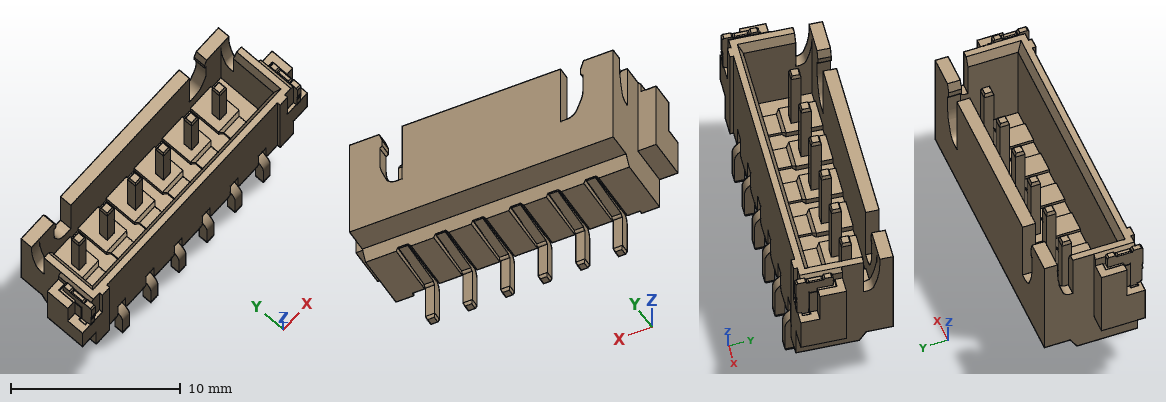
import cadquery as cq
import math


LENGTH = 20.0
SHELL_LENGTH = 17.55
DEPTH = 5.92
HEIGHT = 7.8
FRONT_STEP = 0.22
PAD_WIDTH = 1.2
SIDE_WALL = 0.72
FRONT_WALL = 0.72
BACK_WALL = 0.82
FLOOR_TOP = 1.8
BACK_UNDERCUT = 0.72
UNDERCUT_LENGTH = 1.65
UNDERCUT_SLOPE_LENGTH = 0.42
LEAD_IN_WIDTH = 0.3
LEAD_IN_HEIGHT = 0.6

PIN_COUNT = 6
PITCH = 2.5
PIN_SIZE = 0.62
PIN_Y = 3.62
PIN_TOP = 6.85
LEAD_BOTTOM = -2.8
LEAD_OVERHANG = 0.12
ARM_TOP = 0.72
ARM_BOTTOM = 0.05
ARM_DROP = 0.15
BEND_BOTTOM = -0.42
INNER_BEND = 0.15
PIN_TIP_HEIGHT = 0.25
PIN_TIP_INSET = 0.08

SLOT_WIDTH = 0.68
SLOT_TOP = 1.7
SLOT_DEPTH = 0.5
SLOT_MOUTH_CHAMFER = 0.15

BLOCK_WIDTH = 1.82
BLOCK_NECK_WIDTH = 1.38
BLOCK_HEIGHT = 0.4
NECK_HEIGHT = 0.2
BLOCK_FRONT_Y = 2.85
BLOCK_TAPER = 0.2

SIDE_SLOT_END = 1.8
SIDE_SLOT_CURVE_TOP = 0.58
SIDE_SLOT_CURVE_BOTTOM = 2.6
SIDE_SLOT_CURVE_SHIFT = 0.35
SIDE_SLOT_DEPTH = 2.95
SIDE_SLOT_ROUND_LENGTH = 0.45

NOTCH_OUTER_X = 6.8
NOTCH_INNER_X = 5.28
NOTCH_DEPTH = 4.28

WING_DEPTH = 2.78
WING_BOTTOM = 2.22
WING_TOP = 6.98
SHELF_Z = 4.7
RECESS_INNER_X = 8.25
NOTCHED_WING_DEPTH = 1.15
BACKING_WIDTH = 0.22
BACKING_CHAMFER_HEIGHT = 0.25
LEG_POCKET_BACK_Y = 0.75
CLIP_LEAD_IN = 0.18
CLIP_LEAD_IN_DEPTH = 0.08
CLIP_LEAD_IN_SLOPE = 0.05
BRIDGE_X = 9.35
BRIDGE_GAP = 0.05

CLIP_THICKNESS = 0.32
CLIP_TOP = 7.75
CLIP_BACK_Y = 2.15
CLIP_FRONT_Y = -LEAD_OVERHANG
CLIP_LEG_BACK_Y = 0.65
CLIP_BAR_BOTTOM = 6.62
CLIP_CORNER = 0.1

SHELL_X = SHELL_LENGTH / 2
CAVITY_X = SHELL_X - SIDE_WALL
CAVITY_FRONT_Y = FRONT_STEP + FRONT_WALL
CAVITY_BACK_Y = DEPTH - BACK_WALL
BACKING_X = SHELL_X + BACKING_WIDTH
PIN_POSITIONS = [(i - (PIN_COUNT - 1) / 2) * PITCH for i in range(PIN_COUNT)]


def block(x0, x1, y0, y1, z0, z1):
    """Box between two opposite corners."""
    return cq.Workplane("XY").box(x1 - x0, y1 - y0, z1 - z0, centered=False).translate((x0, y0, z0))


def prism_x(outline, x0, x1):
    """Closed YZ outline extruded from x0 to x1."""
    return outline.close().extrude(x1 - x0).translate((x0, 0, 0))


def yz(y, z):
    return cq.Workplane("YZ").moveTo(y, z)


def both_sides(half):
    """The left-hand solid together with its mirror image."""
    return half.union(half.mirror("YZ"))


def housing_shell():
    """Open-topped shell with end pads, its front pads cut away beside the clips."""
    undercut_y = DEPTH - UNDERCUT_LENGTH
    side = yz(0, 0).lineTo(0, HEIGHT).lineTo(DEPTH, HEIGHT).lineTo(DEPTH, BACK_UNDERCUT)
    side = side.lineTo(undercut_y, BACK_UNDERCUT).lineTo(undercut_y - UNDERCUT_SLOPE_LENGTH, 0)
    shell = prism_x(side, -SHELL_X, SHELL_X)
    face_x = SHELL_X - PAD_WIDTH
    shell = shell.cut(block(-face_x, face_x, 0, FRONT_STEP, 0, HEIGHT))
    shell = shell.cut(block(-CAVITY_X, CAVITY_X, CAVITY_FRONT_Y, CAVITY_BACK_Y, FLOOR_TOP, HEIGHT))
    return shell.cut(both_sides(block(-SHELL_X, -RECESS_INNER_X, 0, FRONT_STEP, SHELF_Z, HEIGHT)))


def lead_in():
    """Sloped rim around the front and sides of the cavity mouth."""
    rim_z = HEIGHT - LEAD_IN_HEIGHT
    rim_y = CAVITY_FRONT_Y - LEAD_IN_WIDTH
    rim_x = CAVITY_X + LEAD_IN_WIDTH
    sides = cq.Workplane("XZ").moveTo(-CAVITY_X, rim_z).lineTo(CAVITY_X, rim_z)
    sides = sides.lineTo(rim_x, HEIGHT).lineTo(-rim_x, HEIGHT).close()
    sides = sides.extrude(-(CAVITY_BACK_Y - rim_y)).translate((0, rim_y, 0))
    front = yz(CAVITY_FRONT_Y, rim_z).lineTo(rim_y, HEIGHT).lineTo(CAVITY_BACK_Y, HEIGHT)
    front = front.lineTo(CAVITY_BACK_Y, rim_z)
    return sides.intersect(prism_x(front, -rim_x, rim_x))


def side_slot():
    """Left-hand slot with a curved back edge that separates the side wall from the back wall."""
    curve_end_y = CAVITY_BACK_Y - SIDE_SLOT_CURVE_SHIFT
    round_end_y = curve_end_y - SIDE_SLOT_ROUND_LENGTH
    slot_z = HEIGHT - SIDE_SLOT_DEPTH
    slot_front_y = DEPTH - SIDE_SLOT_END
    side = yz(CAVITY_BACK_Y, HEIGHT).lineTo(CAVITY_BACK_Y, HEIGHT - SIDE_SLOT_CURVE_TOP)
    side = side.tangentArcPoint((curve_end_y, HEIGHT - SIDE_SLOT_CURVE_BOTTOM), relative=False)
    side = side.tangentArcPoint((round_end_y, slot_z), relative=False)
    side = side.lineTo(slot_front_y, slot_z).lineTo(slot_front_y, HEIGHT)
    return prism_x(side, -SHELL_X, -CAVITY_X)


def latch_notch():
    """Left-hand notch in the back wall, with a bulged catch at the top and a rounded bottom corner."""
    catch = 0.2
    catch_start, catch_end = 0.6, 1.0
    neck = 0.05
    neck_start, neck_end = 1.15, 2.4
    slope_start = (0.15, 3.1)
    slope_end = (0.45, 3.8)
    round_end = 1.15
    x, z = -NOTCH_OUTER_X, HEIGHT
    outline = cq.Workplane("XZ").moveTo(x, z).lineTo(x + catch, z - catch_start)
    outline = outline.lineTo(x + catch, z - catch_end).lineTo(x + neck, z - neck_start)
    outline = outline.lineTo(x + neck, z - neck_end)
    outline = outline.tangentArcPoint((x + slope_start[0], z - slope_start[1]), relative=False)
    outline = outline.lineTo(x + slope_end[0], z - slope_end[1])
    outline = outline.tangentArcPoint((x + round_end, z - NOTCH_DEPTH), relative=False)
    outline = outline.lineTo(-NOTCH_INNER_X, z - NOTCH_DEPTH).lineTo(-NOTCH_INNER_X, z).close()
    return outline.extrude(-BACK_WALL).translate((0, CAVITY_BACK_Y, 0))


def pin_block(x):
    """Floor block that steps down and narrows toward the front wall."""
    wide, neck = BLOCK_WIDTH / 2, BLOCK_NECK_WIDTH / 2
    neck_y = BLOCK_FRONT_Y - BLOCK_TAPER
    right_edge = [(neck, CAVITY_FRONT_Y), (neck, neck_y), (wide, BLOCK_FRONT_Y), (wide, CAVITY_BACK_Y)]
    left_edge = [(-px, py) for px, py in reversed(right_edge)]
    plan = cq.Workplane("XY").polyline(right_edge + left_edge).close()
    plan = plan.extrude(BLOCK_HEIGHT).translate((0, 0, FLOOR_TOP))
    neck_z = FLOOR_TOP + NECK_HEIGHT
    top_z = FLOOR_TOP + BLOCK_HEIGHT
    side = yz(CAVITY_FRONT_Y, FLOOR_TOP).lineTo(CAVITY_FRONT_Y, neck_z).lineTo(neck_y, neck_z)
    side = side.lineTo(BLOCK_FRONT_Y, top_z).lineTo(CAVITY_BACK_Y, top_z).lineTo(CAVITY_BACK_Y, FLOOR_TOP)
    return plan.intersect(prism_x(side, -wide, wide)).translate((x, 0, 0))


def lead_slot(x):
    """Relief in the front wall with a leaning back face and a flared groove along the bottom."""
    half = SLOT_WIDTH / 2
    back_y = FRONT_STEP + SLOT_DEPTH
    side = yz(FRONT_STEP, 0).lineTo(FRONT_STEP, SLOT_TOP).lineTo(back_y, ARM_TOP).lineTo(back_y, 0)
    slot = prism_x(side, -half, half)
    flare = half + SLOT_MOUTH_CHAMFER
    mouth = cq.Workplane("XZ").moveTo(-flare, 0).lineTo(-half, SLOT_MOUTH_CHAMFER)
    mouth = mouth.lineTo(half, SLOT_MOUTH_CHAMFER).lineTo(flare, 0).close()
    mouth = mouth.extrude(-DEPTH)
    return slot.union(mouth).translate((x, 0, 0))


def frustum(width, depth, height, inset):
    """Upright block on the XY plane whose four sides all lean inward by the inset."""
    taper = math.degrees(math.atan(inset / height))
    return cq.Workplane("XY").rect(width, depth).extrude(height, taper=taper)


def pin_tip():
    """Tapered end shared by the contact and the lead."""
    return frustum(PIN_SIZE, PIN_SIZE, PIN_TIP_HEIGHT, PIN_TIP_INSET)


def pin(x):
    """Straight contact pin, arm under the housing and downward lead, with tapered tips."""
    half = PIN_SIZE / 2
    front_y = -LEAD_OVERHANG
    lead_back_y = front_y + PIN_SIZE
    pin_back_y = PIN_Y + half
    bend_y = lead_back_y + INNER_BEND
    shank_bottom = LEAD_BOTTOM + PIN_TIP_HEIGHT
    outer_radius = ARM_TOP - ARM_DROP - BEND_BOTTOM
    lead = yz(front_y, shank_bottom).lineTo(front_y, BEND_BOTTOM)
    lead = lead.tangentArcPoint((front_y + outer_radius, ARM_TOP - ARM_DROP), relative=False)
    lead = lead.lineTo(pin_back_y, ARM_TOP).lineTo(pin_back_y, ARM_BOTTOM)
    lead = lead.lineTo(bend_y, ARM_BOTTOM - ARM_DROP)
    lead = lead.radiusArc((lead_back_y, ARM_BOTTOM - ARM_DROP - INNER_BEND), INNER_BEND)
    lead = lead.lineTo(lead_back_y, shank_bottom)
    lead = prism_x(lead, -half, half)
    lead = lead.union(pin_tip().mirror("XY").translate((0, front_y + half, shank_bottom)))
    shank_top = PIN_TOP - PIN_TIP_HEIGHT
    contact = block(-half, half, PIN_Y - half, pin_back_y, ARM_BOTTOM, shank_top)
    contact = contact.union(pin_tip().translate((0, PIN_Y, shank_top)))
    return lead.union(contact).translate((x, 0, 0))


def lead_in_pocket(front_y, back_y, top_z):
    """Shallow pocket with sloped walls around the place where the left-hand clip enters the wing."""
    width = CLIP_THICKNESS + 2 * CLIP_LEAD_IN
    pocket = frustum(width, back_y - front_y, CLIP_LEAD_IN_DEPTH, CLIP_LEAD_IN_SLOPE).mirror("XY")
    return pocket.translate((-BACKING_X - CLIP_THICKNESS / 2, (front_y + back_y) / 2, top_z))


def wing():
    """Left-hand wing, with a notched front, the bridge under the clip bar and the strip behind the clip."""
    body = block(-LENGTH / 2, -SHELL_X, 0, WING_DEPTH, WING_BOTTOM, WING_TOP)
    body = body.cut(block(-LENGTH / 2, -SHELL_X, 0, NOTCHED_WING_DEPTH, SHELF_Z, WING_TOP))
    body = body.cut(lead_in_pocket(0, CLIP_BACK_Y + CLIP_LEAD_IN, WING_TOP))
    body = body.cut(lead_in_pocket(FRONT_STEP, LEG_POCKET_BACK_Y, SHELF_Z))
    bridge_y = CLIP_LEG_BACK_Y + BRIDGE_GAP
    bridge = block(-BRIDGE_X, -SHELL_X, bridge_y, NOTCHED_WING_DEPTH, SHELF_Z, CLIP_BAR_BOTTOM)
    backing = cq.Workplane("XZ").moveTo(-SHELL_X, WING_BOTTOM).lineTo(-SHELL_X, HEIGHT)
    backing = backing.lineTo(-BACKING_X, HEIGHT - BACKING_CHAMFER_HEIGHT)
    backing = backing.lineTo(-BACKING_X, WING_BOTTOM).close()
    backing = backing.extrude(FRONT_STEP - WING_DEPTH).translate((0, FRONT_STEP, 0))
    return body.union(bridge).union(backing)


def clip():
    """Left-hand flat clip: a top bar with a grooved, bevelled stub and a front leg with a barb."""
    barb_y = -0.05
    barb_top, barb_step, barb_tip, barb_end = 6.35, 6.22, 5.95, 5.82
    foot_chamfer = 0.15
    foot_bottom = SHELF_Z - CLIP_LEAD_IN_DEPTH
    groove_depth, stub_drop = 0.15, 0.05
    groove_z = CLIP_TOP - groove_depth
    stub_z = CLIP_TOP - stub_drop
    stub_front_y, stub_back_y = 0.65, 1.45
    groove_half = 0.1
    stub_bevel = 0.05
    outline = [
        (FRONT_STEP, foot_bottom),
        (FRONT_STEP, SHELF_Z),
        (barb_y, SHELF_Z + foot_chamfer),
        (barb_y, barb_end),
        (CLIP_FRONT_Y, barb_tip),
        (barb_y, barb_step),
        (CLIP_FRONT_Y, barb_top),
        (CLIP_FRONT_Y, CLIP_TOP - CLIP_CORNER),
        (CLIP_FRONT_Y + CLIP_CORNER, CLIP_TOP),
        (stub_front_y - 2 * groove_half, CLIP_TOP),
        (stub_front_y - groove_half, groove_z),
        (stub_front_y, stub_z),
        (stub_back_y, stub_z),
        (stub_back_y + groove_half, groove_z),
        (stub_back_y + 2 * groove_half, CLIP_TOP),
        (CLIP_BACK_Y - CLIP_CORNER, CLIP_TOP),
        (CLIP_BACK_Y, CLIP_TOP - CLIP_CORNER),
        (CLIP_BACK_Y, CLIP_BAR_BOTTOM),
        (CLIP_LEG_BACK_Y, CLIP_BAR_BOTTOM),
        (CLIP_LEG_BACK_Y, foot_bottom),
    ]
    outer_x = -BACKING_X - CLIP_THICKNESS
    plate = prism_x(cq.Workplane("YZ").polyline(outline), outer_x, -BACKING_X)
    stub_edges = cq.selectors.BoxSelector(
        (outer_x - stub_bevel, stub_front_y + groove_half, groove_z),
        (stub_bevel - BACKING_X, stub_back_y - groove_half, CLIP_TOP),
    )
    return plate.edges(stub_edges).chamfer(stub_bevel)


result = housing_shell().union(both_sides(wing()))
result = result.cut(lead_in()).cut(both_sides(side_slot()))
result = result.cut(both_sides(latch_notch()))
for pin_x in PIN_POSITIONS:
    result = result.union(pin_block(pin_x)).cut(lead_slot(pin_x)).union(pin(pin_x))
result = result.union(both_sides(clip()))